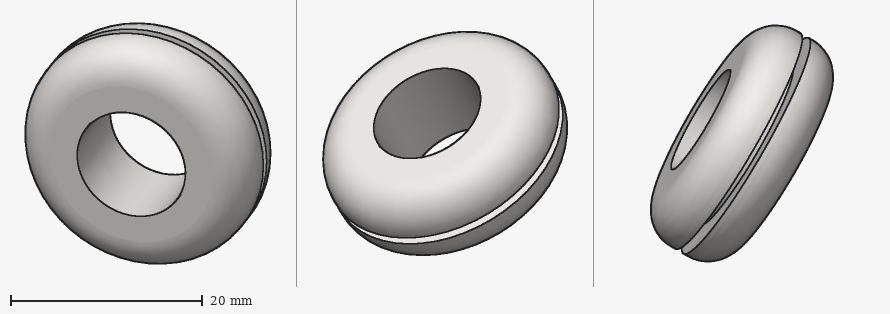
import cadquery as cq

outer_diameter = 26.0
thickness = 10.0
bore_diameter = 12.0
rim_radius = 4.0
groove_diameter = 19.0
groove_width = 1.0


def disc(diameter, width):
    """Solid disc on the Y axis, centred on the origin."""
    return cq.Workplane("XZ").circle(diameter / 2).extrude(width / 2, both=True)


body = disc(outer_diameter, thickness).edges().fillet(rim_radius)

groove = disc(outer_diameter, groove_width).cut(disc(groove_diameter, groove_width))

bore = disc(bore_diameter, thickness)

result = body.cut(groove).cut(bore)